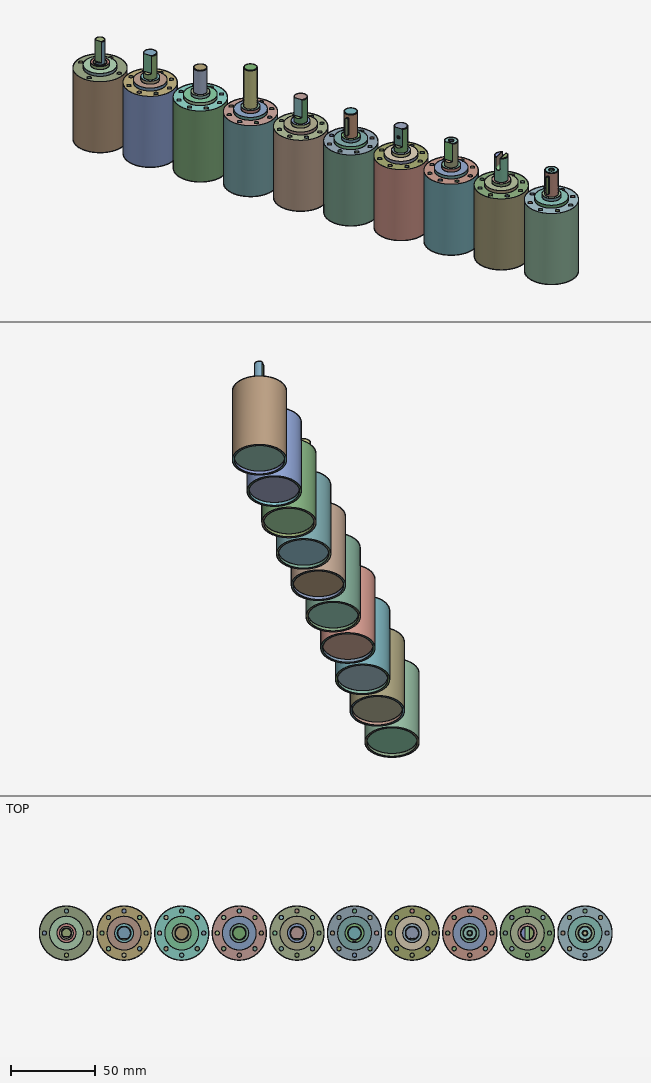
import cadquery as cq
motor_count = 10
row_length = 338.0
body_diameter = 32.0
motor_pitch = (row_length - body_diameter) / (motor_count - 1)

body_height = 49.0
pilot_diameter = 20.0
pilot_height = 2.0
boss_diameter = 11.0
boss_height = 2.0
boss_top = body_height + pilot_height + boss_height

recess_diameter = 29.7
recess_depth = 2.0

mount_hole_diameter = 2.5
mount_circle_diameter = 26.0
mount_hole_depth = 5.0

thin_shaft_diameter = 6.0
shaft_diameter = 8.0
thin_shaft_top = 68.5
shaft_top = 69.5
long_shaft_top = 79.8
shaft_chamfer = 0.5

clearance_depth = 0.5

flat_depth = 1.0
flat_bottom = 57.5
thin_flat_bottom = 54.0

key_width = 2.0
key_length = 12.0
key_bottom = 55.0
key_projection = 1.0

dimple_diameter = 2.0
dimple_depth = 1.0
dimple_height = 63.2
centre_hole_diameter = 2.5
countersink_diameter = 3.3
centre_hole_depth = 6.8
slot_width = 2.7
slot_depth = 8.5


def cylinder(diameter, bottom, top):
    return cq.Workplane("XY", origin=(0, 0, bottom)).circle(diameter / 2).extrude(top - bottom)


def make_motor(hole_count=8, diameter=shaft_diameter, top=shaft_top):
    """Housing with mounting holes and a plain round shaft, on the Z axis."""
    pilot_top = body_height + pilot_height
    housing = cylinder(body_diameter, 0, body_height)
    recess = cylinder(recess_diameter, 0, recess_depth)
    mount_holes = (
        cq.Workplane("XY", origin=(0, 0, body_height))
        .polarArray(mount_circle_diameter / 2, 0, 360, hole_count)
        .circle(mount_hole_diameter / 2)
        .extrude(-mount_hole_depth)
    )
    shaft = cylinder(diameter, boss_top, top).faces(">Z").chamfer(shaft_chamfer)
    return (
        housing.cut(mount_holes)
        .cut(recess)
        .union(cylinder(pilot_diameter, body_height, pilot_top))
        .union(cylinder(boss_diameter, pilot_top, boss_top))
        .union(shaft)
    )


def cut_flat(motor):
    """D-shaped flat with a sloped run-out at its lower end."""
    outside_y = -shaft_diameter / 2
    flat_y = outside_y + flat_depth
    cutter = (
        cq.Workplane("YZ")
        .moveTo(outside_y, flat_bottom - flat_depth)
        .lineTo(flat_y, flat_bottom)
        .lineTo(flat_y, shaft_top)
        .lineTo(outside_y, shaft_top)
        .close()
        .extrude(shaft_diameter / 2, both=True)
    )
    return motor.cut(cutter)


def make_thin_flat_motor():
    """Motor with four mounting holes and a thin shaft with a square-ended flat."""
    flat_y = -thin_shaft_diameter / 2 + flat_depth
    cutter = (
        cq.Workplane("XY", origin=(0, flat_y - flat_depth / 2, thin_flat_bottom))
        .rect(thin_shaft_diameter, flat_depth)
        .extrude(thin_shaft_top - thin_flat_bottom)
    )
    clearance_bottom = boss_top - clearance_depth
    clearance = cylinder(shaft_diameter, clearance_bottom, boss_top).cut(
        cylinder(thin_shaft_diameter, clearance_bottom, boss_top)
    )
    return make_motor(4, thin_shaft_diameter, thin_shaft_top).cut(cutter).cut(clearance)


def add_key(motor):
    key = (
        cq.Workplane("XZ", origin=(0, 0, key_bottom + key_length / 2))
        .slot2D(key_length, key_width, 90)
        .extrude(shaft_diameter / 2 + key_projection)
    )
    return motor.union(key)


def cut_dimple(motor):
    flat_y = -shaft_diameter / 2 + flat_depth
    dimple = (
        cq.Workplane("XZ", origin=(0, flat_y, dimple_height))
        .circle(dimple_diameter / 2)
        .extrude(-dimple_depth)
    )
    return motor.cut(dimple)


def cut_centre_hole(motor):
    """Blind hole down the shaft axis with a 45-degree countersink."""
    countersink_depth = (countersink_diameter - centre_hole_diameter) / 2
    hole = cylinder(centre_hole_diameter, shaft_top - centre_hole_depth, shaft_top)
    countersink = cq.Solid.makeCone(
        centre_hole_diameter / 2,
        countersink_diameter / 2,
        countersink_depth,
        pnt=cq.Vector(0, 0, shaft_top - countersink_depth),
    )
    return motor.cut(hole).cut(countersink)


def cut_slot(motor):
    """Open-ended slot along Y with a round bottom."""
    slot = (
        cq.Workplane("XZ", origin=(0, 0, shaft_top))
        .slot2D(2 * slot_depth, slot_width, 90)
        .extrude(shaft_diameter / 2, both=True)
    )
    return motor.cut(slot)


thin_flat_motor = make_thin_flat_motor()
round_motor = make_motor()
long_motor = make_motor(top=long_shaft_top)
flat_motor = cut_flat(round_motor)
keyed_motor = add_key(round_motor)
dimple_motor = cut_dimple(flat_motor)
flat_tapped_motor = cut_centre_hole(flat_motor)
slotted_motor = cut_slot(round_motor)
keyed_tapped_motor = cut_centre_hole(keyed_motor)

row = [
    thin_flat_motor,
    flat_motor,
    round_motor,
    long_motor,
    flat_motor,
    keyed_motor,
    dimple_motor,
    flat_tapped_motor,
    slotted_motor,
    keyed_tapped_motor,
]

motors = []
for index, motor in enumerate(row):
    x = (index - (motor_count - 1) / 2) * motor_pitch
    motors.append(motor.translate((x, 0, 0)).val())

result = cq.Compound.makeCompound(motors)